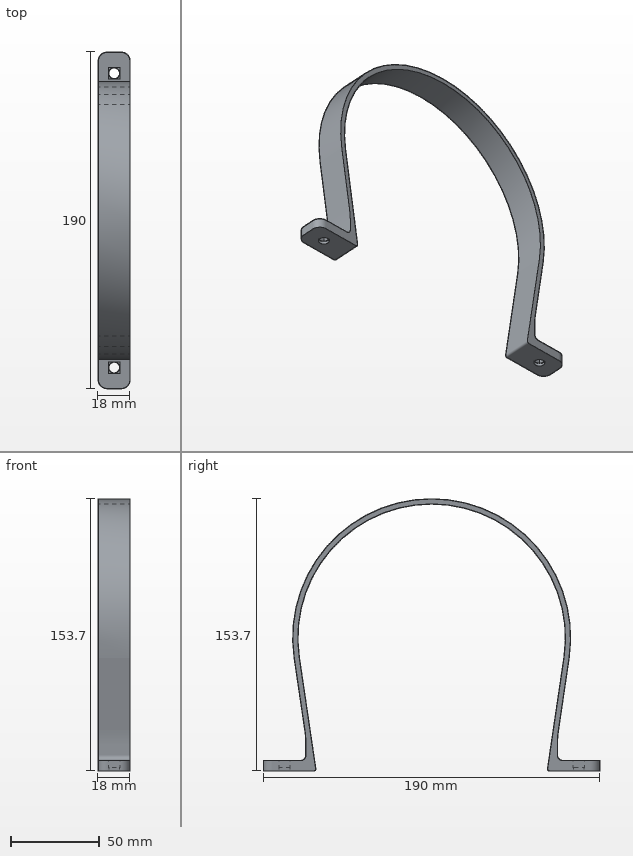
import cadquery as cq
import math

width = 18.0
length = 190.0
height = 153.7

outer_radius = 78.5
band_thickness = 3.0
leg_lean = math.radians(8.4)
inner_radius = outer_radius - band_thickness
hoop_centre_z = height - outer_radius

foot_thickness = 6.0
foot_end_y = length / 2
foot_corner_radius = 5.1
heel_outer_y = 71.0

leg_blend_radius = 53.2
foot_fillet_radius = 2.8
heel_radius = 1.3

hole_y = 83.0
hole_diameter = 6.0
square_side = 6.5
square_depth = 4.0


def tangent_point(radius):
    """Point (y, z) where the +Y leg leaves a hoop circle."""
    return radius * math.cos(leg_lean), hoop_centre_z - radius * math.sin(leg_lean)


def leg_y_at(radius, z):
    """Y of the leg surface tangent to a hoop circle, at height z."""
    start_y, start_z = tangent_point(radius)
    return start_y - (start_z - z) * math.tan(leg_lean)


def make_strap():
    outer_y, outer_z = tangent_point(outer_radius)
    inner_y, inner_z = tangent_point(inner_radius)
    toe_y = leg_y_at(inner_radius, 0)
    bend_z = outer_z - (outer_y - heel_outer_y) / math.tan(leg_lean)

    profile = (
        cq.Workplane("YZ", origin=(-width / 2, 0, 0))
        .moveTo(foot_end_y, 0)
        .lineTo(foot_end_y, foot_thickness)
        .lineTo(heel_outer_y, foot_thickness)
        .lineTo(heel_outer_y, bend_z)
        .lineTo(outer_y, outer_z)
        .threePointArc((0, height), (-outer_y, outer_z))
        .lineTo(-heel_outer_y, bend_z)
        .lineTo(-heel_outer_y, foot_thickness)
        .lineTo(-foot_end_y, foot_thickness)
        .lineTo(-foot_end_y, 0)
        .lineTo(-toe_y, 0)
        .lineTo(-inner_y, inner_z)
        .threePointArc((0, hoop_centre_z + inner_radius), (inner_y, inner_z))
        .lineTo(toe_y, 0)
        .close()
    )
    strap = profile.extrude(width)
    for side in (-1, 1):
        strap = fillet_cross_edge(strap, side * heel_outer_y, bend_z, leg_blend_radius)
        strap = fillet_cross_edge(strap, side * heel_outer_y, foot_thickness, foot_fillet_radius)
        strap = fillet_cross_edge(strap, side * toe_y, 0, heel_radius)
    return strap.edges("|Z").edges("<Y or >Y").fillet(foot_corner_radius)


def fillet_cross_edge(body, y, z, radius):
    """Round the edge that runs along X through (y, z)."""
    edge = cq.selectors.NearestToPointSelector((0, y, z))
    return body.edges("|X").edges(edge).fillet(radius)


def make_bolt_opening(y):
    hole = cq.Workplane("XY").center(0, y).circle(hole_diameter / 2).extrude(foot_thickness)
    recess = (
        cq.Workplane("XY", origin=(0, y, foot_thickness - square_depth))
        .rect(square_side, square_side)
        .extrude(square_depth)
    )
    return hole.union(recess)


result = make_strap()
for foot_side in (-1, 1):
    result = result.cut(make_bolt_opening(foot_side * hole_y))